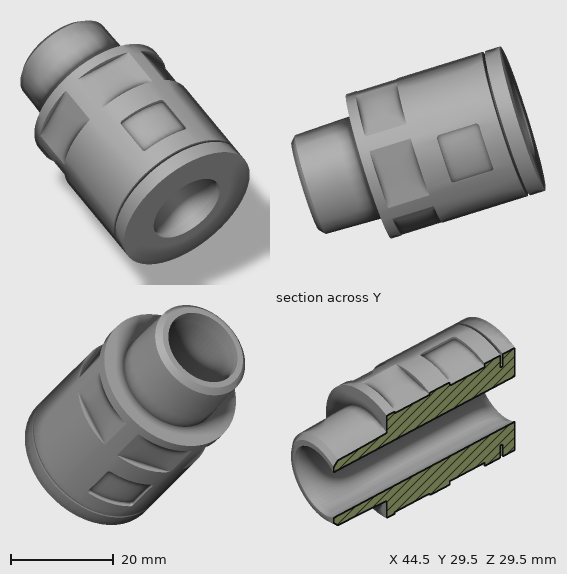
import cadquery as cq

total_length = 44.5
spigot_length = 13.0
tip_chamfer_length = 1.05
end_ring_length = 3.03
groove_width = 0.6

body_diameter = 29.5
bore_diameter = 15.5
groove_diameter = 23.4
tip_diameter = 18.0
taper_small_diameter = 20.2
taper_large_diameter = 20.9

flat_count = 6
across_flats = 26.95
flats_start = 15.05
flats_length = 8.45

pocket_start = 28.45
pocket_length = 8.6
pocket_width = 10.1
pocket_corner_radius = 0.6
pocket_floor_diameter = 27.75

groove_end = total_length - end_ring_length
groove_start = groove_end - groove_width


def cylinder_along_x(diameter, start, length):
    return cq.Workplane("YZ", origin=(start, 0, 0)).circle(diameter / 2).extrude(length)


def turned_body():
    """Tapered spigot, main barrel, narrow groove and end ring as one revolved outline."""
    outline = [
        (0, 0),
        (0, tip_diameter / 2),
        (tip_chamfer_length, taper_small_diameter / 2),
        (spigot_length, taper_large_diameter / 2),
        (spigot_length, body_diameter / 2),
        (groove_start, body_diameter / 2),
        (groove_start, groove_diameter / 2),
        (groove_end, groove_diameter / 2),
        (groove_end, body_diameter / 2),
        (total_length, body_diameter / 2),
        (total_length, 0),
    ]
    return cq.Workplane("XY").polyline(outline).close().revolve(360, (0, 0, 0), (1, 0, 0))


def flat_cutter(angle):
    """Block above one wrench flat, turned about the X axis."""
    block = cq.Workplane("XY", origin=(flats_start, 0, across_flats / 2)).box(
        flats_length, body_diameter, body_diameter, centered=(False, True, False)
    )
    return block.rotate((0, 0, 0), (1, 0, 0), angle)


def pocket_cutter():
    """Rounded rectangle through both sides, leaving a floor concentric with the barrel."""
    pocket_centre = pocket_start + pocket_length / 2
    block = (
        cq.Workplane("XY", origin=(pocket_centre, 0, 0))
        .rect(pocket_length, pocket_width)
        .extrude(body_diameter, both=True)
        .edges("|Z")
        .fillet(pocket_corner_radius)
    )
    return block.cut(cylinder_along_x(pocket_floor_diameter, pocket_start, pocket_length))


result = turned_body()
for index in range(flat_count):
    result = result.cut(flat_cutter(index * 360 / flat_count))
result = result.cut(pocket_cutter())
result = result.cut(cylinder_along_x(bore_diameter, 0, total_length))